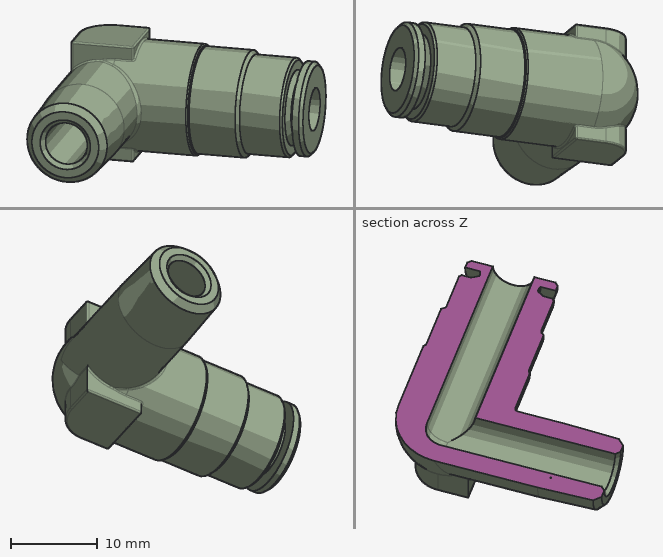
import cadquery as cq


body_radius = 6.48
body_end = 10.9
body_chamfer = 0.18
sleeve_radius = 6.25
sleeve_start = 11.05
sleeve_end = 16.95
sleeve_shoulder_length = 0.4
front_radius = 5.78
front_end = 22.0
front_chamfer = 0.25

neck_cone_radius = 4.4
neck_radius = 3.58
neck_start = 22.5
neck_flare_start = 22.89
neck_flare_radius = 3.7
collar_radius = 5.52
collar_back = 23.15
collar_end = 24.35
collar_chamfer = 0.4

leg_radius = 5.0
taper_start = 12.53
taper_end = 19.22
taper_end_radius = 4.78
leg_end = 20.0
leg_tip_radius = 4.0

bore_radius = 2.5
bore_mouth_radius = 3.0
bore_mouth_depth = bore_mouth_radius - bore_radius

pad_half_width = 3.73
pad_span = 14.0
pad_half_height = pad_span / 2
pad_edge_round = 0.2
pad_joint_fillet = 0.2
leg_joint_fillet = 0.4

margin = 0.03

ball_center = body_radius - leg_radius


def make_body():
    profile = (
        cq.Workplane("XY")
        .moveTo(-leg_radius, 0)
        .radiusArc((ball_center, body_radius), body_radius)
        .lineTo(body_end - body_chamfer, body_radius)
        .lineTo(body_end, body_radius - body_chamfer)
        .lineTo(sleeve_start, sleeve_radius)
        .lineTo(sleeve_end - sleeve_shoulder_length, sleeve_radius)
        .lineTo(sleeve_end, front_radius)
        .lineTo(front_end - front_chamfer, front_radius)
        .lineTo(front_end, front_radius - front_chamfer)
        .lineTo(front_end, neck_cone_radius)
        .lineTo(neck_start, neck_radius)
        .lineTo(neck_flare_start, neck_radius)
        .lineTo(collar_back, neck_flare_radius)
        .lineTo(collar_back, collar_radius)
        .lineTo(collar_end - collar_chamfer, collar_radius)
        .lineTo(collar_end, collar_radius - collar_chamfer)
        .lineTo(collar_end, 0)
        .close()
    )
    return profile.revolve(360, (0, 0, 0), (1, 0, 0))


def make_leg():
    profile = (
        cq.Workplane("XY")
        .lineTo(-leg_radius, 0)
        .lineTo(-leg_radius, -taper_start)
        .lineTo(-taper_end_radius, -taper_end)
        .lineTo(-leg_tip_radius, -leg_end)
        .lineTo(0, -leg_end)
        .close()
    )
    return profile.revolve(360, (0, 0, 0), (0, 1, 0))


def make_pad(height, rounded_edges):
    """Square pad rising to the signed height, its outer bend corner rounded about the Z axis."""
    pad = (
        cq.Workplane("XY")
        .moveTo(-pad_half_width, 0)
        .radiusArc((0, pad_half_width), pad_half_width)
        .lineTo(pad_half_width, pad_half_width)
        .lineTo(pad_half_width, -pad_half_width)
        .lineTo(-pad_half_width, -pad_half_width)
        .close()
        .extrude(height)
    )
    outer_face = ">Z" if height > 0 else "<Z"
    pad = pad.edges(rounded_edges).fillet(pad_edge_round)
    return pad.faces(outer_face).edges().fillet(pad_edge_round)


def make_bores():
    """Leg bore and body bore of one radius, meeting in a ball."""
    leg_bore_profile = (
        cq.Workplane("XY")
        .lineTo(bore_radius, 0)
        .lineTo(bore_radius, -leg_end + bore_mouth_depth)
        .lineTo(bore_mouth_radius, -leg_end)
        .lineTo(0, -leg_end)
        .close()
    )
    leg_bore = leg_bore_profile.revolve(360, (0, 0, 0), (0, 1, 0))
    body_bore = cq.Workplane("YZ").circle(bore_radius).extrude(collar_end)
    return leg_bore.union(body_bore).union(cq.Workplane("XY").sphere(bore_radius))


def round_joints(elbow):
    """Fillet the inner corners where the leg and the pads meet the body."""
    leg_joint_box = cq.selectors.BoxSelector(
        (0, -body_radius, -body_radius),
        (leg_radius, -pad_half_width - margin, body_radius),
    )
    pad_joint_box = cq.selectors.BoxSelector(
        (-pad_half_width - margin, -pad_half_width - margin, -body_radius - margin),
        (pad_half_width + margin, pad_half_width + margin, body_radius + margin),
        boundingbox=True,
    )
    ball_edge_box = cq.selectors.BoxSelector(
        (ball_center - margin, -body_radius, -body_radius),
        (ball_center + margin, body_radius, body_radius),
        boundingbox=True,
    )
    elbow = elbow.edges(leg_joint_box - ball_edge_box).fillet(leg_joint_fillet)
    return elbow.edges(pad_joint_box - ball_edge_box).fillet(pad_joint_fillet)


upper_pad = make_pad(pad_half_height, "|Z and (>X or <Y)")
lower_pad = make_pad(-pad_half_height, "|Z and >X")

elbow = make_body().union(make_leg()).union(upper_pad).union(lower_pad)
result = round_joints(elbow).cut(make_bores())